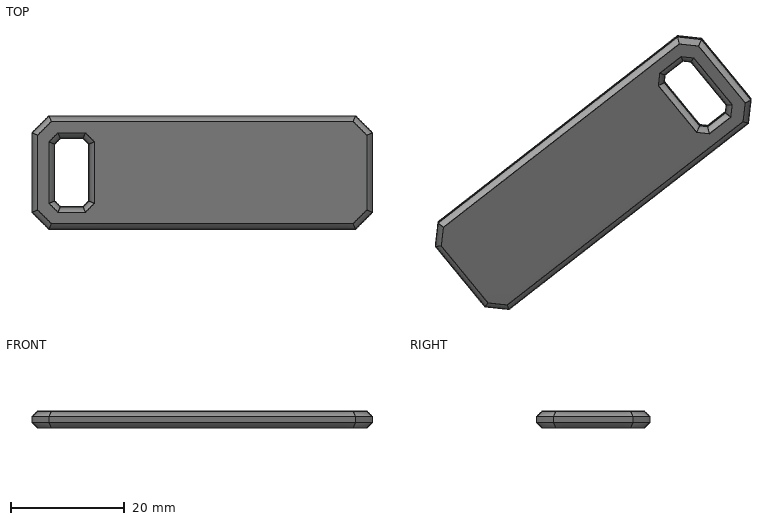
import cadquery as cq

length = 60.0
width = length / 3
thickness = 3.0
corner_cut = thickness
edge_bevel = thickness / 3

slot_length = 6.0
slot_width = 12.0
slot_corner_cut = edge_bevel
slot_end_gap = 4 * edge_bevel
slot_x = -length / 2 + slot_end_gap + slot_length / 2


def octagon_prism(size_x, size_y, cut):
    """Full-thickness block standing on Z = 0 with its four upright corners cut at 45 degrees."""
    block = cq.Workplane("XY").box(size_x, size_y, thickness, centered=(True, True, False))
    return block.edges("|Z").chamfer(cut)


def cut_slot(body):
    """Cut the slot straight through the body."""
    slot = octagon_prism(slot_length, slot_width, slot_corner_cut)
    return body.cut(slot.translate((slot_x, 0, 0)))


plate = octagon_prism(length, width, corner_cut)
result = cut_slot(plate).faces("<Z or >Z").chamfer(edge_bevel)